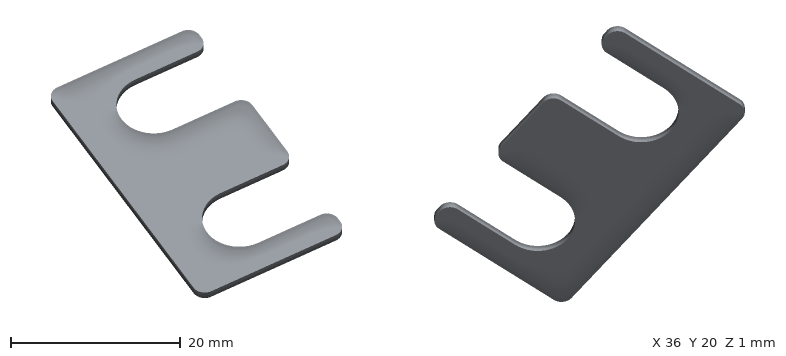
import cadquery as cq

length = 36.0
depth = 20.0
thickness = 1.0
corner_radius = 1.5
slot_width = 8.8
slot_spacing = 20.0
slot_straight = 10.0

slot_radius = slot_width / 2
open_edge_y = depth / 2
slot_end_y = open_edge_y - slot_straight


def open_slot(center_x):
    """Cutter for a round-ended slot that opens on the +Y edge."""
    return (
        cq.Workplane("XY")
        .moveTo(center_x - slot_radius, open_edge_y)
        .lineTo(center_x - slot_radius, slot_end_y)
        .threePointArc(
            (center_x, slot_end_y - slot_radius),
            (center_x + slot_radius, slot_end_y),
        )
        .lineTo(center_x + slot_radius, open_edge_y)
        .close()
        .extrude(thickness)
    )


plate = cq.Workplane("XY").rect(length, depth).extrude(thickness)

for side in (-1, 1):
    plate = plate.cut(open_slot(side * slot_spacing / 2))

outer_corners = plate.edges("|Z and (>Y or <Y)")
result = outer_corners.fillet(corner_radius)